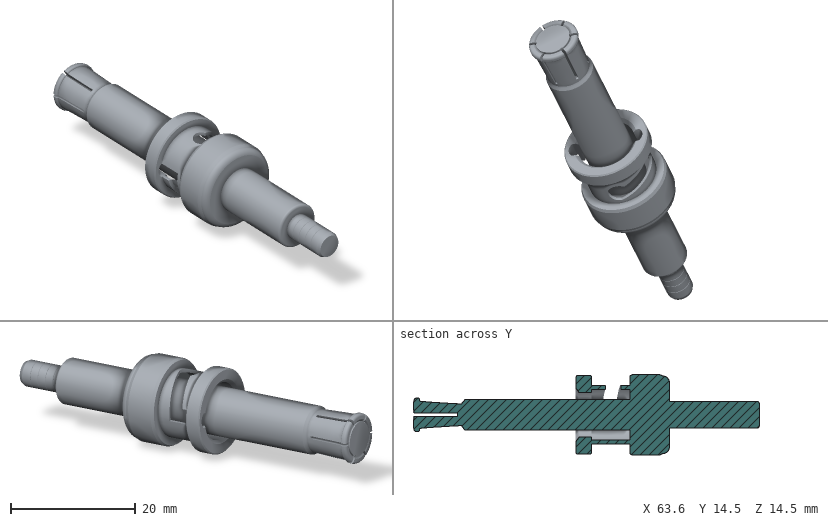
import cadquery as cq


lip_radius = 4.15
lip_front_round = 0.43
lip_end = 1.05
finger_front_radius = 3.84
finger_rear_radius = 3.6
finger_end = 7.7
core_radius = 2.87
core_groove_radius = 3.25
core_groove_depth = 0.3
tip_slot_count = 6
tip_slot_width = 0.45
tip_slot_floor = 2.8
tip_slot_end = 7.05

front_barrel_start = 8.3
front_barrel_radius = 4.0
rear_barrel_end = 55.7
rear_barrel_radius = 3.82
rear_barrel_fillet = 0.4
tail_end = 63.6
tail_radius = 2.2
tail_end_bevel_length = 0.65
tail_end_bevel_depth = 0.3
tail_groove_first = 57.1
tail_groove_pitch = 1.45
tail_groove_count = 4
tail_groove_width = 0.1
tail_groove_depth = 0.06

ring_start = 26.1
ring_end = 28.7
ring_radius = 7.07
ring_bevel = 0.2
wall_radius = 5.68
bore_radius = 4.75
recess_radius = 5.12
bore_mouth_radius = 5.3
bore_mouth_depth = 0.5
collar_start = 34.75
collar_end = 41.2
collar_radius = 7.25
collar_edge_radius = 7.0
collar_land_start = 35.25
collar_land_end = 39.5
collar_step_end = 40.1
collar_rear_radius = 6.1

keyway_width = 2.45
keyway_tip_radius = 6.28
keyway_end = 31.5
locking_hole_x = 32.4
locking_hole_radius = 1.67
track_width = 2.3
track_angle = 15.0


def make_core():
    """Revolve the tip, barrel and tail as one body."""
    lip_rear_round = lip_radius - finger_front_radius
    profile = (
        cq.Workplane("XY")
        .moveTo(0, 0)
        .lineTo(0, core_radius)
        .lineTo(core_groove_depth, core_radius)
        .lineTo(0, core_groove_radius)
        .lineTo(0, lip_radius - lip_front_round)
        .radiusArc((lip_front_round, lip_radius), lip_front_round)
        .lineTo(lip_end - lip_rear_round, lip_radius)
        .radiusArc((lip_end, finger_front_radius), lip_rear_round)
        .lineTo(finger_end, finger_rear_radius)
        .lineTo(front_barrel_start, front_barrel_radius)
        .lineTo(collar_start, front_barrel_radius)
        .lineTo(collar_start, rear_barrel_radius)
        .lineTo(rear_barrel_end - rear_barrel_fillet, rear_barrel_radius)
        .radiusArc((rear_barrel_end, rear_barrel_radius - rear_barrel_fillet), rear_barrel_fillet)
        .lineTo(rear_barrel_end, tail_radius)
        .lineTo(tail_end - tail_end_bevel_length, tail_radius)
        .lineTo(tail_end, tail_radius - tail_end_bevel_depth)
        .lineTo(tail_end, 0)
        .close()
    )
    return profile.revolve(360, (0, 0, 0), (1, 0, 0))


def cut_tip_slots(body):
    """Split the tip into spring fingers around the central core."""
    for index in range(tip_slot_count):
        slot = (
            cq.Workplane("XY", origin=(0, tip_slot_floor, 0))
            .box(tip_slot_end, lip_radius, tip_slot_width, centered=(False, False, True))
            .rotate((0, 0, 0), (1, 0, 0), index * 360 / tip_slot_count)
        )
        body = body.cut(slot)
    return body


def cut_tail_grooves(body):
    """Score fine V grooves around the tail."""
    for index in range(tail_groove_count):
        x = tail_groove_first + index * tail_groove_pitch
        groove = (
            cq.Workplane("XY")
            .moveTo(x - tail_groove_width / 2, tail_radius)
            .lineTo(x, tail_radius - tail_groove_depth)
            .lineTo(x + tail_groove_width / 2, tail_radius)
            .close()
            .revolve(360, (0, 0, 0), (1, 0, 0))
        )
        body = body.cut(groove)
    return body


def make_sleeve():
    """Revolve the hollow locking sleeve, recessed behind the ring and solid from the collar on."""
    profile = (
        cq.Workplane("XY")
        .moveTo(ring_start, bore_mouth_radius)
        .lineTo(ring_start, ring_radius - ring_bevel)
        .lineTo(ring_start + ring_bevel, ring_radius)
        .lineTo(ring_end - ring_bevel, ring_radius)
        .lineTo(ring_end, ring_radius - ring_bevel)
        .lineTo(ring_end, wall_radius)
        .lineTo(collar_start, wall_radius)
        .lineTo(collar_start, collar_edge_radius)
        .lineTo(collar_land_start, collar_radius)
        .lineTo(collar_land_end, collar_radius)
        .lineTo(collar_step_end, collar_edge_radius)
        .radiusArc((collar_end, collar_rear_radius), collar_end - collar_step_end)
        .lineTo(collar_end, 0)
        .lineTo(collar_start, 0)
        .lineTo(collar_start, recess_radius)
        .lineTo(ring_end, recess_radius)
        .lineTo(ring_end, bore_radius)
        .lineTo(ring_start + bore_mouth_depth, bore_radius)
        .close()
    )
    return profile.revolve(360, (0, 0, 0), (1, 0, 0))


def make_bayonet_track():
    """Build the track from the +Y keyway up to the locking hole on +Z."""
    half_width = keyway_width / 2
    keyway = (
        cq.Workplane("YZ", origin=(ring_start, 0, 0))
        .moveTo(0, -half_width)
        .lineTo(wall_radius, -half_width)
        .threePointArc((keyway_tip_radius, 0), (wall_radius, half_width))
        .lineTo(0, half_width)
        .close()
        .extrude(keyway_end - ring_start)
    )

    hole = (
        cq.Workplane("XY")
        .center(locking_hole_x, 0)
        .circle(locking_hole_radius)
        .extrude(collar_radius)
    )
    slant = (
        cq.Workplane("XY")
        .transformed(offset=(locking_hole_x, 0, -half_width), rotate=(0, 0, track_angle))
        .center(locking_hole_radius - track_width / 2, 0)
        .rect(track_width, 2 * collar_radius)
        .extrude(collar_radius)
    )
    outer_half = (
        cq.Workplane("XY")
        .box(tail_end, collar_radius, 2 * collar_radius, centered=(False, False, True))
    )
    return keyway.union(hole).union(slant.intersect(outer_half))


def cut_bayonet_tracks(sleeve):
    """Cut two tracks half a turn apart."""
    track = make_bayonet_track()
    opposite_track = track.rotate((0, 0, 0), (1, 0, 0), 180)
    return sleeve.cut(track).cut(opposite_track)


core = cut_tail_grooves(cut_tip_slots(make_core()))
sleeve = cut_bayonet_tracks(make_sleeve())
result = core.union(sleeve)